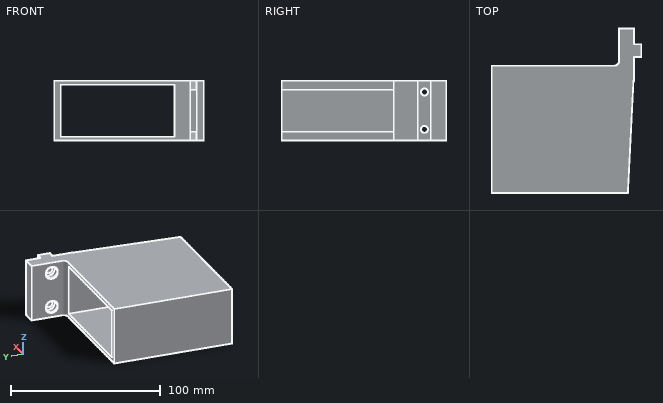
import cadquery as cq

height = 40.0
total_length = 110.0
total_width = 100.0

body_length = 85.1
front_width = 91.1
left_wall = 4.5
floor_thickness = 2.8
opening_width = 75.8

lug_left = 85.0
lug_right = 95.2
lug_front = 75.0
taper_end_width = 94.8
fillet_radius = 3.0

rib_height = 6.0

tab_front = 90.8
tab_length = 8.7

hole_diameter = 4.5
counterbore_diameter = 8.0
counterbore_depth = 5.0
rim_chamfer = 0.4
hole_from_rear = 14.6
hole_pitch = 25.0


def block(x_min, x_max, y_min, y_max, z_min=0.0, z_max=height):
    """Box given by its limits along each axis."""
    size = (x_max - x_min, y_max - y_min, z_max - z_min)
    return cq.Workplane("XY").box(*size, centered=False).translate((x_min, y_min, z_min))


def taper_rib(z_min):
    """Wedge that widens the sleeve from its front edge to the lug."""
    return (
        cq.Workplane("XY", origin=(0, 0, z_min))
        .moveTo(front_width, 0)
        .lineTo(taper_end_width, lug_front)
        .lineTo(front_width, lug_front)
        .close()
        .extrude(rib_height)
    )


def corner_fillet():
    """Concave blend between the lug and the rear face of the sleeve."""
    middle_offset = fillet_radius * (1 - 0.5**0.5)
    return (
        cq.Workplane("XY")
        .moveTo(lug_left, body_length)
        .lineTo(lug_left, body_length + fillet_radius)
        .threePointArc(
            (lug_left - middle_offset, body_length + middle_offset),
            (lug_left - fillet_radius, body_length),
        )
        .close()
        .extrude(height)
    )


def screw_hole(z):
    """Cutter for one hole along X, counterbored from the left with a chamfered rim."""
    face = cq.Workplane("YZ", origin=(lug_left, total_length - hole_from_rear, z))
    through = face.circle(hole_diameter / 2).extrude(total_width - lug_left)
    counterbore = face.circle(counterbore_diameter / 2).extrude(counterbore_depth)
    rim = (
        face.circle(counterbore_diameter / 2 + rim_chamfer)
        .workplane(offset=rim_chamfer)
        .circle(counterbore_diameter / 2)
        .loft()
    )
    return through.union(counterbore).union(rim)


result = block(0, front_width, 0, body_length)
for rib_bottom in (0, height - rib_height):
    result = result.union(taper_rib(rib_bottom))
result = result.union(block(lug_left, lug_right, lug_front, total_length))
result = result.union(block(lug_right, total_width, tab_front, tab_front + tab_length))
result = result.union(corner_fillet())

result = result.cut(
    block(left_wall, left_wall + opening_width, 0, body_length, floor_thickness, height - floor_thickness)
)

for side in (-1, 1):
    result = result.cut(screw_hole(height / 2 + side * hole_pitch / 2))